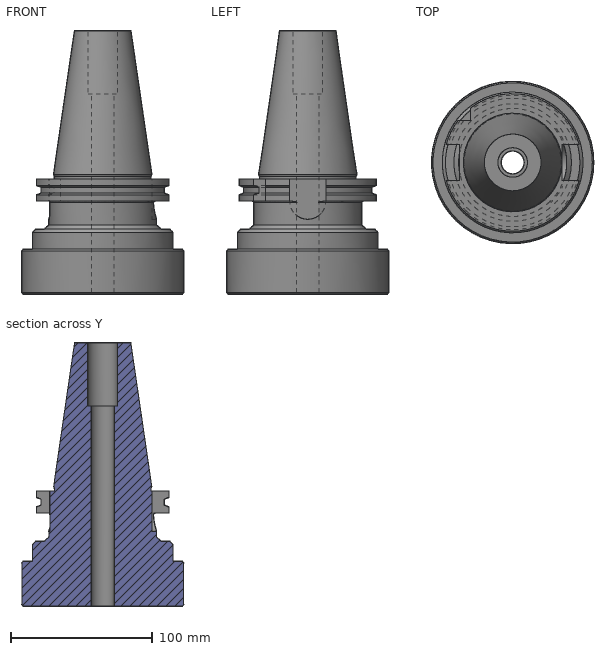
import cadquery as cq
import math

total_height = 186.8
gauge_z = 85.0
flange_top_z = 81.8
flange_bottom_z = 66.0
neck_bottom_z = 49.1
collar_top_z = 46.1
base_top_z = 32.0

base_radius = 57.5
collar_radius = 49.9
neck_radius = 38.3
neck_foot_radius = 41.6
flange_radius = 48.7
taper_large_radius = 35.0
relief_radius = 34.4
relief_top_z = 83.5
taper_ratio = 7 / 24
taper_small_radius = taper_large_radius - (total_height - gauge_z) * taper_ratio / 2

base_chamfer = 1.1
collar_chamfer = 2.2
neck_fillet = 1.0

groove_radius = 45.5
groove_mid_z = 73.8
groove_mouth_height = 6.5
groove_floor_height = 4.1

slot_width = 25.5
slot_floor_minus_x = 37.5
slot_floor_plus_x = 35.1

notch_corner = 29.9

bore_radius = 8.0
counterbore_radius = 10.5
counterbore_depth = 44.8


def turned_body():
    """Holder profile in (radius, Z), revolved about the Z axis."""
    lower_profile = [
        (0, 0),
        (base_radius - base_chamfer, 0),
        (base_radius, base_chamfer),
        (base_radius, base_top_z - base_chamfer),
        (base_radius - base_chamfer, base_top_z),
        (collar_radius, base_top_z),
        (collar_radius, collar_top_z - collar_chamfer),
        (collar_radius - collar_chamfer, collar_top_z),
        (neck_foot_radius, collar_top_z),
        (neck_radius, neck_bottom_z),
        (neck_radius, flange_bottom_z - neck_fillet),
    ]
    fillet_middle = (
        neck_radius + neck_fillet * (1 - math.sqrt(0.5)),
        flange_bottom_z - neck_fillet * (1 - math.sqrt(0.5)),
    )
    fillet_end = (neck_radius + neck_fillet, flange_bottom_z)
    upper_profile = [
        (flange_radius, flange_bottom_z),
        (flange_radius, groove_mid_z - groove_mouth_height / 2),
        (groove_radius, groove_mid_z - groove_floor_height / 2),
        (groove_radius, groove_mid_z + groove_floor_height / 2),
        (flange_radius, groove_mid_z + groove_mouth_height / 2),
        (flange_radius, flange_top_z),
        (relief_radius, flange_top_z),
        (relief_radius, relief_top_z),
        (taper_large_radius, gauge_z),
        (taper_small_radius, total_height),
        (0, total_height),
    ]
    return (
        cq.Workplane("XZ")
        .polyline(lower_profile)
        .threePointArc(fillet_middle, fillet_end)
        .polyline(upper_profile, includeCurrent=True)
        .close()
        .revolve(360, (0, 0, 0), (0, 1, 0))
    )


def drive_slot(floor_distance, side):
    """Slot cutter on the +X (side=1) or -X (side=-1) flank, rounded at its lower end."""
    half_width = slot_width / 2
    return (
        cq.Workplane("YZ", origin=(side * floor_distance, 0, 0))
        .moveTo(-half_width, flange_top_z)
        .lineTo(-half_width, flange_bottom_z)
        .threePointArc((0, flange_bottom_z - half_width), (half_width, flange_bottom_z))
        .lineTo(half_width, flange_top_z)
        .close()
        .extrude(side * (flange_radius - floor_distance))
    )


def orientation_notch():
    """Square-cornered cutter through the flange rim in the -X, +Y quadrant."""
    size = flange_radius - notch_corner
    return cq.Workplane("XY").box(size, size, flange_top_z - flange_bottom_z, centered=False).translate(
        (-flange_radius, notch_corner, flange_bottom_z)
    )


def stepped_bore():
    """Through bore with a wider bore at the small end of the taper."""
    through = cq.Workplane("XY").circle(bore_radius).extrude(total_height)
    wide = (
        cq.Workplane("XY", origin=(0, 0, total_height - counterbore_depth))
        .circle(counterbore_radius)
        .extrude(counterbore_depth)
    )
    return through.union(wide)


result = (
    turned_body()
    .cut(drive_slot(slot_floor_minus_x, -1))
    .cut(drive_slot(slot_floor_plus_x, 1))
    .cut(orientation_notch())
    .cut(stepped_bore())
)